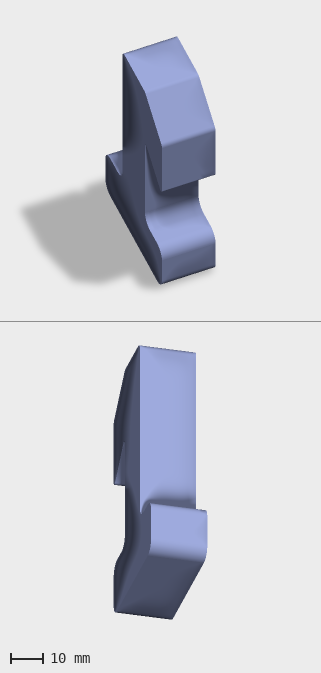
import cadquery as cq
import math

height = 80.0
thickness = 18.0
base_height = thickness
stem_width = thickness
base_width = 45.0
hook_angle = math.radians(40)
hook_drop = 23.5
base_radius = 4.0
top_radius = 2.0
hook_radius = 1.0

stem_x = stem_width / 2
base_x = base_width / 2
base_side = base_x - stem_x
slope_fall = base_side * math.tan(hook_angle)
shoulder_z = height - slope_fall
notch_z = height - hook_drop
tip_z = notch_z - slope_fall

corners = [
    (-base_x, 0, base_radius),
    (base_x, 0, base_radius),
    (base_x, base_height, base_radius),
    (stem_x, base_height, base_radius),
    (stem_x, notch_z, hook_radius),
    (base_x, tip_z, hook_radius),
    (base_x, shoulder_z, top_radius),
    (stem_x, height, top_radius),
    (-stem_x, height, top_radius),
    (-stem_x, base_height, base_radius),
    (-base_x, base_height, base_radius),
]

result = (
    cq.Workplane("XZ")
    .polyline([(x, z) for x, z, _ in corners])
    .close()
    .extrude(thickness / 2, both=True)
)

for x, z, radius in corners:
    corner_edge = cq.selectors.NearestToPointSelector((x, 0, z))
    result = result.edges("|Y").edges(corner_edge).fillet(radius)